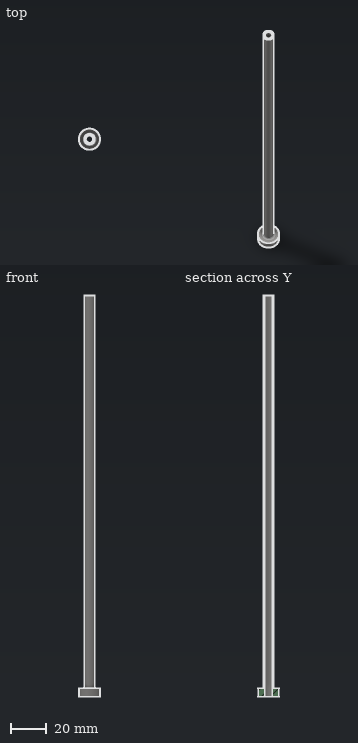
import cadquery as cq

total_length = 225.0
head_diameter = 12.0
head_height = 5.0
shaft_diameter = 6.0
bore_diameter = 4.0
neck_fillet_radius = 0.5


def make_body():
    """Head and shaft turned as one outline, with a fillet where they meet."""
    head_radius = head_diameter / 2
    shaft_radius = shaft_diameter / 2
    fillet_end = (shaft_radius, head_height + neck_fillet_radius)
    outline = (
        cq.Workplane("XZ")
        .lineTo(head_radius, 0)
        .lineTo(head_radius, head_height)
        .lineTo(shaft_radius + neck_fillet_radius, head_height)
        .radiusArc(fillet_end, neck_fillet_radius)
        .lineTo(shaft_radius, total_length)
        .lineTo(0, total_length)
        .close()
    )
    return outline.revolve(360, (0, 0, 0), (0, 1, 0))


def make_bore():
    """Plain hole through the full length of the sleeve."""
    return cq.Workplane("XY").circle(bore_diameter / 2).extrude(total_length)


result = make_body().cut(make_bore())